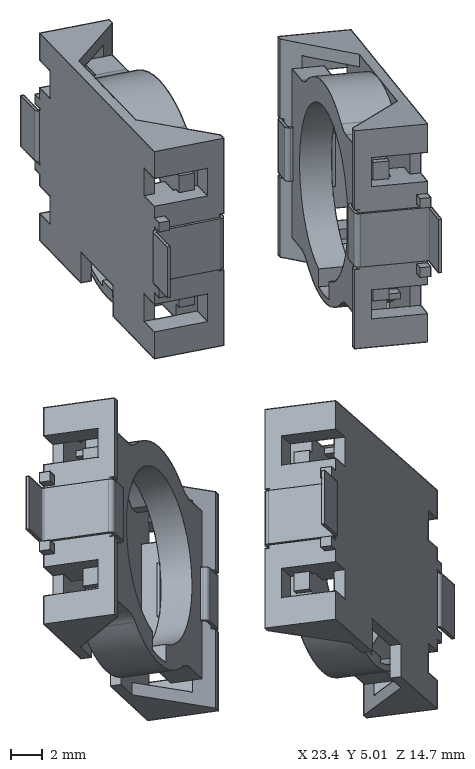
import cadquery as cq
import math

housing_half_length = 9.14
housing_half_height = 7.35
housing_depth = 4.81
floor_thickness = 0.72
cheek_foot_x = 4.53
pocket_half_height = 6.52

ledge_inner_x = 6.17
ledge_half_width = 3.48

window_inner_z = ledge_half_width
window_outer_z = 5.45

notch_half_width = 2.57
notch_top_z = -5.16

peg_end_x = 9.9
peg_inner_z = 2.0
peg_outer_z = 2.66

plate_half_length = 7.5
plate_half_height = 5.7
plate_bottom_y = 2.22
plate_top_y = 4.32
plate_hole_radius = 5.75
ring_outer_radius = 7.35
ring_inner_radius = 6.95
ring_blend_radius = 1.99
skirt_start_z = 5.3
finger_slot_half_width = 1.22
tab_half_width = 0.82
tab_top_z = -6.52
tab_depth = 0.35
hook_end_x = 8.0
hook_outer_z = 4.67
hook_top_y = 3.27

sheet = 0.2
bend_inner_radius = 0.12
contact_half_width = 1.8
pad_end_x = 11.68
foot_tip_x = 5.59

cheek_top_x = cheek_foot_x + housing_depth - floor_thickness
window_ceiling_y = floor_thickness + plate_half_length - cheek_foot_x
foot_bottom_y = plate_bottom_y - sheet
bend_outer_radius = bend_inner_radius + sheet
blend_centre_z = plate_half_height + ring_blend_radius
blend_end_x = math.sqrt((ring_outer_radius + ring_blend_radius) ** 2 - blend_centre_z ** 2)
signs = (-1, 1)


def block(x_range, y_range, z_range):
    """Box between two limits along each axis."""
    lows, highs = zip(*(sorted(limits) for limits in (x_range, y_range, z_range)))
    sizes = [high - low for low, high in zip(lows, highs)]
    return cq.Workplane("XY").box(*sizes, centered=False).translate(lows)


def cylinder(radius, y_range):
    """Cylinder along Y about the ring axis."""
    start, end = y_range
    return cq.Workplane("XZ", origin=(0, start, 0)).circle(radius).extrude(start - end)


def retainer_outline(y_range):
    """Plate and ring outline with concave blends between them, extruded along Y."""
    start, end = y_range
    plate = block(
        (-plate_half_length, plate_half_length), y_range, (-plate_half_height, plate_half_height)
    )
    body = plate.union(cylinder(ring_outer_radius, y_range))
    crossing_x = math.sqrt(ring_outer_radius ** 2 - plate_half_height ** 2)
    for x_sign in signs:
        for z_sign in signs:
            corner = (x_sign * crossing_x, (start + end) / 2, z_sign * plate_half_height)
            body = body.edges(cq.NearestToPointSelector(corner)).fillet(ring_blend_radius)
    return body


def make_housing():
    profile = [
        (-housing_half_length, 0),
        (housing_half_length, 0),
        (housing_half_length, housing_depth),
        (cheek_top_x, housing_depth),
        (cheek_foot_x, floor_thickness),
        (-cheek_foot_x, floor_thickness),
        (-cheek_top_x, housing_depth),
        (-housing_half_length, housing_depth),
    ]
    body = cq.Workplane("XY").polyline(profile).close().extrude(housing_half_height, both=True)

    body = body.cut(block(
        (-plate_half_length, plate_half_length),
        (floor_thickness, housing_depth),
        (-pocket_half_height, pocket_half_height),
    ))

    body = body.cut(block(
        (-notch_half_width, notch_half_width), (0, floor_thickness), (-housing_half_height, notch_top_z)
    ))

    for x_sign in signs:
        end_x = x_sign * housing_half_length
        inner_x = x_sign * plate_half_length

        body = body.union(block(
            (x_sign * ledge_inner_x, inner_x),
            (floor_thickness, foot_bottom_y),
            (-ledge_half_width, ledge_half_width),
        ))

        recess_y = housing_depth - sheet
        body = body.cut(block((inner_x, end_x), (recess_y, housing_depth), (-peg_inner_z, peg_inner_z)))
        fold_edge = cq.NearestToPointSelector((end_x, recess_y, 0))
        body = body.edges(fold_edge).fillet(bend_inner_radius)

        for z_sign in signs:
            window_z = (z_sign * window_inner_z, z_sign * window_outer_z)
            body = body.cut(block((inner_x, end_x), (0, window_ceiling_y), window_z))
            peg_z = (z_sign * peg_inner_z, z_sign * peg_outer_z)
            body = body.union(block((end_x, x_sign * peg_end_x), (0, floor_thickness), peg_z))
    return body


def make_retainer():
    plate_y = (plate_bottom_y, plate_top_y)
    skirt_y = (floor_thickness, plate_bottom_y)

    plate = retainer_outline(plate_y).cut(cylinder(plate_hole_radius, plate_y))
    slot = block((-finger_slot_half_width, finger_slot_half_width), plate_y, (-ring_inner_radius, 0))
    plate = plate.cut(slot.intersect(cylinder(ring_inner_radius, plate_y)))

    skirt = retainer_outline(skirt_y).intersect(block(
        (-blend_end_x, blend_end_x), skirt_y, (-ring_outer_radius, ring_outer_radius)
    ))
    skirt = skirt.cut(block((-blend_end_x, blend_end_x), skirt_y, (-skirt_start_z, skirt_start_z)))
    skirt = skirt.cut(cylinder(ring_inner_radius, skirt_y))
    body = plate.union(skirt)

    tab_y = (floor_thickness, floor_thickness + tab_depth)
    tab = block((-tab_half_width, tab_half_width), tab_y, (-ring_outer_radius, tab_top_z))
    body = body.union(tab.intersect(cylinder(ring_outer_radius, tab_y)))

    for x_sign in signs:
        for z_sign in signs:
            body = body.union(block(
                (x_sign * plate_half_length, x_sign * hook_end_x),
                (plate_bottom_y, hook_top_y),
                (z_sign * window_inner_z, z_sign * hook_outer_z),
            ))
    return body


def make_contact():
    """Contact on the +X end: solder pad, riser, fold over the wall, leg and foot."""
    riser_in = housing_half_length
    riser_out = housing_half_length + sheet
    leg_out = plate_half_length
    leg_in = plate_half_length - sheet
    fold_low = housing_depth - sheet

    outer_bends = [
        (riser_in, -sheet), (riser_out, housing_depth), (leg_in, housing_depth), (leg_out, foot_bottom_y)
    ]
    inner_bends = [
        (riser_out, 0), (riser_in, fold_low), (leg_out, fold_low), (leg_in, plate_bottom_y)
    ]
    profile = [
        (pad_end_x, -sheet),
        (riser_in, -sheet),
        (riser_in, fold_low),
        (leg_out, fold_low),
        (leg_out, foot_bottom_y),
        (foot_tip_x, foot_bottom_y),
        (foot_tip_x, plate_bottom_y),
        (leg_in, plate_bottom_y),
        (leg_in, housing_depth),
        (riser_out, housing_depth),
        (riser_out, 0),
        (pad_end_x, 0),
    ]
    strip = cq.Workplane("XY").polyline(profile).close().extrude(contact_half_width, both=True)
    for corners, radius in ((inner_bends, bend_inner_radius), (outer_bends, bend_outer_radius)):
        for x, y in corners:
            strip = strip.edges(cq.NearestToPointSelector((x, y, 0))).fillet(radius)
    return strip


housing = make_housing()
right_contact = make_contact()
contacts = [right_contact.mirror("YZ"), right_contact]

retainer = make_retainer()
for contact in contacts:
    retainer = retainer.cut(contact)

result = cq.Compound.makeCompound(
    [body.solids().val() for body in (housing, retainer, *contacts)]
)